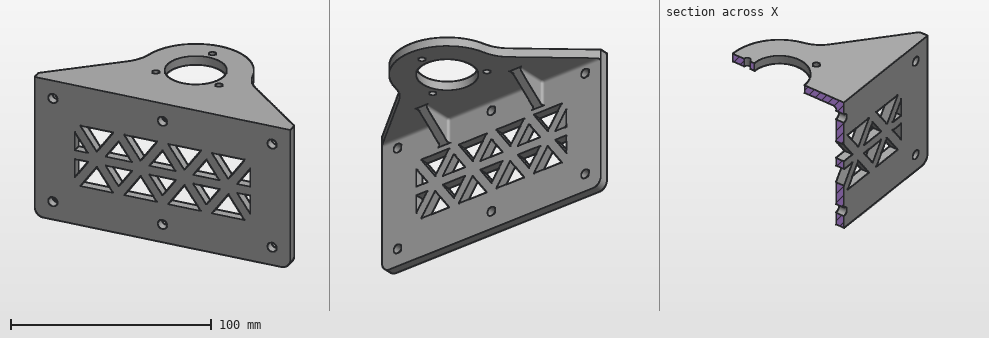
import math

import cadquery as cq

wall_width = 140.0
wall_height = 77.7
thickness = 5.0
wall_corner_radius = 5.0

wall_hole_diameter = 5.0
wall_hole_edge_distance = 10.0
wall_hole_column_spacing = 60.0

bay_count = 4
bay_width = 24.0
truss_height = 33.7
bar_width = 5.0

mount_center_y = 40.0
mount_outer_radius = 29.0
mount_bore_diameter = 31.0
mount_hole_diameter = 3.7
mount_hole_circle_radius = 20.0
mount_hole_count = 3
first_mount_hole_angle = 90.0
neck_radius = 20.0

gusset_offset_x = 30.0
gusset_thickness = 5.0
gusset_reach = 18.3
gusset_drop = 14.0
inner_fillet_radius = 1.5

wall_middle_z = -wall_height / 2
gusset_tip_y = thickness + gusset_reach
shelf_edge_slope = (mount_center_y - thickness) / (wall_width / 2 - mount_outer_radius)


def mirrored(point):
    return (-point[0], point[1])


def make_wall():
    wall = cq.Workplane("XY").box(wall_width, thickness, wall_height, centered=(True, False, False))
    wall = wall.translate((0, 0, -wall_height))
    return wall.edges("|Y and <Z").fillet(wall_corner_radius)


def make_wall_holes():
    row_z = wall_height / 2 - wall_hole_edge_distance
    centers = []
    for column in (-1, 0, 1):
        for side in (-1, 1):
            centers.append((column * wall_hole_column_spacing, side * row_z))
    holes = cq.Workplane("XZ", origin=(0, 0, wall_middle_z)).pushPoints(centers)
    return holes.circle(wall_hole_diameter / 2).extrude(-thickness)


def make_truss_openings():
    half_height = truss_height / 2
    half_bar = bar_width / 2
    diagonal_slope = half_height / (bay_width / 2)
    diagonal_offset = half_bar * math.hypot(1, diagonal_slope)
    large_half_base = (half_height - diagonal_offset) / diagonal_slope
    small_half_base = (half_height - diagonal_offset - half_bar) / diagonal_slope

    triangles = []
    for bay in range(bay_count):
        x = (bay - (bay_count - 1) / 2) * bay_width
        triangles.append(
            [
                (x - large_half_base, half_height),
                (x + large_half_base, half_height),
                (x, diagonal_offset),
            ]
        )
    for joint in range(bay_count + 1):
        x = (joint - bay_count / 2) * bay_width
        left = x if joint == 0 else x - small_half_base
        right = x if joint == bay_count else x + small_half_base
        triangles.append([(left, half_bar), (right, half_bar), (x, half_height - diagonal_offset)])

    openings = cq.Workplane("XZ", origin=(0, 0, wall_middle_z))
    for side in (1, -1):
        for triangle in triangles:
            openings = openings.polyline([(x, side * z) for x, z in triangle]).close()
    return openings.extrude(-thickness)


def neck_arc():
    """Return the start, middle and end of the +X neck arc, from slanted edge to mount circle.

    The arc is tangent to the slanted edge and to the mount circle.
    """
    edge_length = math.hypot(1, shelf_edge_slope)
    along = (-1 / edge_length, shelf_edge_slope / edge_length)
    outward = (along[1], -along[0])
    start = (
        wall_width / 2 + outward[0] * neck_radius,
        thickness - mount_center_y + outward[1] * neck_radius,
    )
    center_distance = mount_outer_radius + neck_radius
    start_along = start[0] * along[0] + start[1] * along[1]
    start_outward = start[0] * outward[0] + start[1] * outward[1]
    travel = -start_along - math.sqrt(center_distance**2 - start_outward**2)
    center_x = start[0] + travel * along[0]
    center_y = start[1] + travel * along[1] + mount_center_y

    edge_angle = math.atan2(-outward[1], -outward[0]) % (2 * math.pi)
    mount_angle = math.atan2(mount_center_y - center_y, -center_x) % (2 * math.pi)
    points = []
    for angle in (edge_angle, (edge_angle + mount_angle) / 2, mount_angle):
        points.append((center_x + neck_radius * math.cos(angle), center_y + neck_radius * math.sin(angle)))
    return points


def make_shelf():
    foot = (wall_width / 2, thickness)
    edge_end, neck_middle, mount_end = neck_arc()
    return (
        cq.Workplane("XY")
        .moveTo(wall_width / 2, 0)
        .lineTo(*foot)
        .lineTo(*edge_end)
        .threePointArc(neck_middle, mount_end)
        .threePointArc((0, mount_center_y + mount_outer_radius), mirrored(mount_end))
        .threePointArc(mirrored(neck_middle), mirrored(edge_end))
        .lineTo(*mirrored(foot))
        .lineTo(-wall_width / 2, 0)
        .close()
        .extrude(-thickness)
    )


def make_mount_holes():
    mount = cq.Workplane("XY", origin=(0, mount_center_y, 0))
    bore = mount.circle(mount_bore_diameter / 2).extrude(-thickness)
    screw_holes = (
        mount.polarArray(mount_hole_circle_radius, first_mount_hole_angle, 360, mount_hole_count)
        .circle(mount_hole_diameter / 2)
        .extrude(-thickness)
    )
    return bore.union(screw_holes)


def make_gusset(center_x):
    return (
        cq.Workplane("YZ", origin=(center_x, 0, 0))
        .moveTo(thickness, -thickness)
        .lineTo(gusset_tip_y, -thickness)
        .lineTo(thickness, -thickness - gusset_drop)
        .close()
        .extrude(gusset_thickness / 2, both=True)
    )


def fillet_inner_corners(body):
    """Round the corner of wall and shelf, and the gusset sides where they meet both plates."""
    margin = 0.01
    corner_line = cq.selectors.BoxSelector(
        (-wall_width, thickness - margin, -thickness - margin),
        (wall_width, thickness + margin, -thickness + margin),
    )
    edges = body.edges("|X").edges(corner_line)
    for center_x in (-gusset_offset_x, gusset_offset_x):
        gusset_box = cq.selectors.BoxSelector(
            (center_x - gusset_thickness, thickness - margin, -thickness - gusset_drop),
            (center_x + gusset_thickness, gusset_tip_y, -thickness + margin),
        )
        edges = edges.add(body.edges("|Y or |Z").edges(gusset_box))
    return edges.fillet(inner_fillet_radius)


body = make_wall().union(make_shelf())
for gusset_x in (-gusset_offset_x, gusset_offset_x):
    body = body.union(make_gusset(gusset_x))
body = fillet_inner_corners(body)

result = body.cut(make_wall_holes()).cut(make_truss_openings()).cut(make_mount_holes())